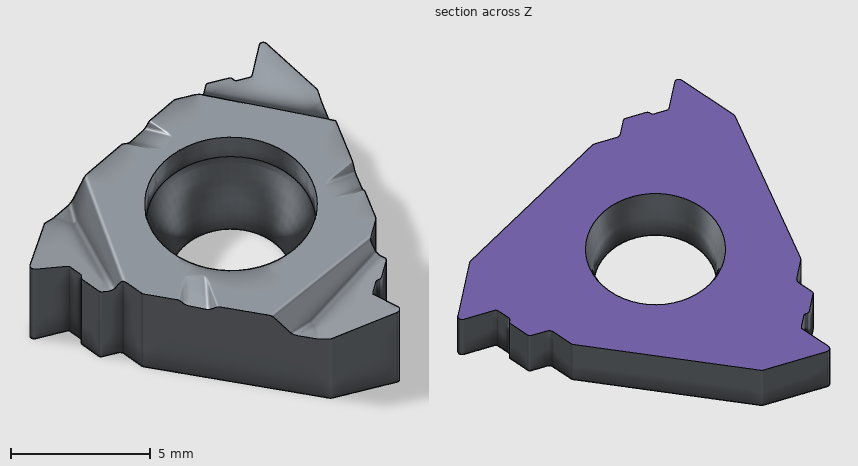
import cadquery as cq
import math

CORNERS = 3
THICKNESS = 4.1
SIDE_DISTANCE = 4.75
FLANK_DISTANCE = 6.46
TOOTH_REACH = 6.91
TIP_RADIUS = 0.16
FLANK_ANGLE = math.radians(60)

ROOT_Y = -5.75
SHOULDER_Y = -5.91
BODY_Y = -5.21
STEP_X = -1.94
SHOULDER_END_X = -0.55
SMALL_RADIUS = 0.13
BODY_RADIUS = 0.23

RAKE = math.tan(math.radians(15))
TIP_DROP = 0.16
FACET_DROP = 0.88
FACET_SLOPE = 0.11
GROOVE_ANGLE = -121.8
GROOVE_START = 4.55
LIP_RADIUS = 0.23
WALL_ANGLE = math.radians(54)
GROOVE_RADIUS = 0.3
CUT_DEPTH = 1.6
REACH = 10.7

HOLE_RADIUS = 4.4 / 2
HEAD_RADIUS = 3.09
HEAD_FOOT_RADIUS = 3.03
HEAD_DEPTH = 1.03
SEAT_RADIUS = 2.93
SEAT_TOP_DEPTH = 1.23
SEAT_BOTTOM_DEPTH = 3.58

NOTCH_ANGLE = 16.0
NOTCH_Y = 0.2
NOTCH_DEPTH = 0.25
NOTCH_LENGTH = 1.27
NOTCH_FLOOR = 0.79
NOTCH_SIDE_SLOPE = 1.2
NOTCH_RADIUS = 0.27
NOTCH_LIP_RADIUS = 0.13


def turned(point, angle):
    """Turn a plan point about the insert axis."""
    x, y = point
    c = math.cos(angle)
    s = math.sin(angle)
    return (c * x - s * y, s * x + c * y)


def corner_outline():
    """Corner points with their rounding radii, from the long side round the tooth to the next side."""
    tan60 = math.tan(FLANK_ANGLE)
    sin60 = math.sin(FLANK_ANGLE)
    cos60 = math.cos(FLANK_ANGLE)
    flank_start_y = -(FLANK_DISTANCE - SIDE_DISTANCE * sin60) / cos60
    tip_y = -TOOTH_REACH - TIP_RADIUS
    tip_x = -SIDE_DISTANCE + (flank_start_y - tip_y) / tan60
    root_x = tip_x + (ROOT_Y - tip_y) / tan60
    half_step = (ROOT_Y - SHOULDER_Y) / tan60 / 2
    shoulder_x = SHOULDER_END_X - (BODY_Y - SHOULDER_Y) / tan60
    body_x = (SIDE_DISTANCE + BODY_Y * sin60) / cos60
    return [
        ((-SIDE_DISTANCE, flank_start_y), BODY_RADIUS),
        ((tip_x, tip_y), TIP_RADIUS),
        ((root_x, ROOT_Y), SMALL_RADIUS),
        ((STEP_X - half_step, ROOT_Y), SMALL_RADIUS),
        ((STEP_X + half_step, SHOULDER_Y), SMALL_RADIUS),
        ((shoulder_x, SHOULDER_Y), SMALL_RADIUS),
        ((SHOULDER_END_X, BODY_Y), BODY_RADIUS),
        ((body_x, BODY_Y), BODY_RADIUS),
    ]


def rounded_corner(before, corner, after, radius):
    """Start, middle and end of the arc that rounds a corner."""
    p = cq.Vector(*corner)
    toward_before = (cq.Vector(*before) - p).normalized()
    toward_after = (cq.Vector(*after) - p).normalized()
    half_angle = toward_before.getAngle(toward_after) / 2
    setback = radius / math.tan(half_angle)
    bisector = (toward_before + toward_after).normalized()
    middle = p + bisector * (radius / math.sin(half_angle) - radius)
    return (p + toward_before * setback, middle, p + toward_after * setback)


def body():
    """Prism with all vertical corners rounded."""
    points = []
    for i in range(CORNERS):
        angle = 2 * math.pi * i / CORNERS
        points += [(turned(point, angle), radius) for point, radius in corner_outline()]
    arcs = []
    for i, (point, radius) in enumerate(points):
        before = points[i - 1][0]
        after = points[(i + 1) % len(points)][0]
        arcs.append(rounded_corner(before, point, after, radius))
    outline = cq.Workplane("XY").moveTo(arcs[-1][2].x, arcs[-1][2].y)
    for start, middle, end in arcs:
        outline = outline.lineTo(start.x, start.y)
        outline = outline.threePointArc((middle.x, middle.y), (end.x, end.y))
    return outline.close().extrude(THICKNESS)


def groove_cutter():
    """Space above the rake face and the run-out facet, outside the groove wall."""
    above = THICKNESS + CUT_DEPTH
    below = THICKNESS - CUT_DEPTH
    lip_z = THICKNESS - LIP_RADIUS

    def lip_point(angle):
        return (GROOVE_START + LIP_RADIUS * math.sin(angle), lip_z + LIP_RADIUS * math.cos(angle))

    lip_end_x, lip_end_z = lip_point(WALL_ANGLE)
    wall_foot_x = lip_end_x + (lip_end_z - below) / math.tan(WALL_ANGLE)
    wall = (
        cq.Workplane("XZ")
        .moveTo(GROOVE_START, above)
        .lineTo(GROOVE_START, THICKNESS)
        .threePointArc(lip_point(WALL_ANGLE / 2), (lip_end_x, lip_end_z))
        .lineTo(wall_foot_x, below)
        .lineTo(REACH, below)
        .lineTo(REACH, above)
        .close()
        .extrude(REACH, both=True)
        .rotate((0, 0, 0), (0, 0, 1), GROOVE_ANGLE)
    )
    rake_inner_z = THICKNESS - TIP_DROP - RAKE * TOOTH_REACH
    rake_outer_z = rake_inner_z + RAKE * REACH
    rake_profile = [(0, rake_inner_z), (-REACH, rake_outer_z), (-REACH, 2 * REACH), (0, 2 * REACH)]
    rake = cq.Workplane("YZ").polyline(rake_profile).close().extrude(REACH, both=True)
    facet_z = THICKNESS - FACET_DROP
    facet_rise = FACET_SLOPE * (REACH - SIDE_DISTANCE)
    facet_fall = FACET_SLOPE * (REACH + SIDE_DISTANCE)
    facet_profile = [
        (-REACH, facet_z + facet_rise),
        (REACH, facet_z - facet_fall),
        (REACH, 2 * REACH),
        (-REACH, 2 * REACH),
    ]
    facet = cq.Workplane("XZ").polyline(facet_profile).close().extrude(REACH, both=True)
    cutter = wall.intersect(rake).intersect(facet)
    valley = cutter.vertices("<Z").val()
    edges = [e for e in cutter.edges().vals() if any(v.isSame(valley) for v in e.Vertices())]
    return cutter.newObject(edges).fillet(GROOVE_RADIUS)


def hole_cutter():
    """Screw hole: slightly tapered head bore, then a rounded seat narrowing to the through hole."""
    head_z = THICKNESS - HEAD_DEPTH
    seat_top_z = THICKNESS - SEAT_TOP_DEPTH
    seat_bottom_z = THICKNESS - SEAT_BOTTOM_DEPTH
    return (
        cq.Workplane("XZ")
        .moveTo(0, 0)
        .lineTo(HOLE_RADIUS, 0)
        .lineTo(HOLE_RADIUS, seat_bottom_z)
        .tangentArcPoint((SEAT_RADIUS, seat_top_z), relative=False)
        .lineTo(HEAD_FOOT_RADIUS, head_z)
        .lineTo(HEAD_RADIUS, THICKNESS)
        .lineTo(0, THICKNESS)
        .close()
        .revolve(360, (0, 0, 0), (0, 1, 0))
    )


def notch_cutter():
    """Shallow trapezoid channel whose floor climbs from the left side up to the top face."""
    half_floor = NOTCH_FLOOR / 2
    height = 3 * NOTCH_DEPTH
    half_top = half_floor + NOTCH_SIDE_SLOPE * height
    climb = math.degrees(math.atan(NOTCH_DEPTH / NOTCH_LENGTH))
    profile = [(-half_floor, 0), (half_floor, 0), (half_top, height), (-half_top, height)]
    return (
        cq.Workplane("YZ")
        .polyline(profile)
        .close()
        .extrude(2 * NOTCH_LENGTH, both=True)
        .edges("|X and <Z")
        .fillet(NOTCH_RADIUS)
        .rotate((0, 0, 0), (0, 1, 0), -climb)
        .rotate((0, 0, 0), (0, 0, 1), NOTCH_ANGLE)
        .translate((-SIDE_DISTANCE, NOTCH_Y, THICKNESS - NOTCH_DEPTH))
    )


def around_axis(cutter):
    """Copies of a cutter, one for each corner of the insert."""
    return [cutter.rotate((0, 0, 0), (0, 0, 1), 360 / CORNERS * i) for i in range(CORNERS)]


def is_notch_lip(edge):
    """Tell the rim edges of the notches from the outline edges of the top face."""
    ends = [edge.startPoint(), edge.endPoint()]
    return min(math.hypot(p.x, p.y) for p in ends) < SIDE_DISTANCE - NOTCH_LENGTH / 2


result = body()
for notch in around_axis(notch_cutter()):
    result = result.cut(notch)
lip_edges = [e for e in result.faces(">Z").edges().vals() if is_notch_lip(e)]
result = result.newObject(lip_edges).fillet(NOTCH_LIP_RADIUS)
for groove in around_axis(groove_cutter()):
    result = result.cut(groove)
result = result.cut(hole_cutter())